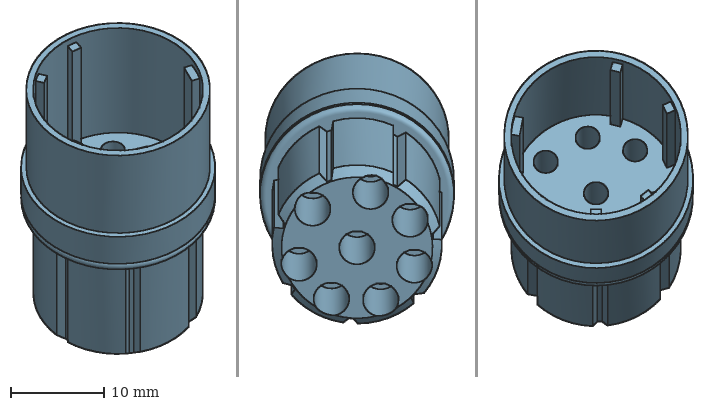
import cadquery as cq
import math

total_height = 32.5
bore_diameter = 18.2
sleeve_diameter = 19.7
insert_diameter = 18.2
insert_chamfer = 1.0

collar_diameter = 20.8
collar_bottom = 16.3
collar_top = 20.5
ring_section_radius = 0.62
ring_bottom = collar_bottom - 2 * ring_section_radius

cup_floor = collar_bottom

pin_diameter = 2.6
counterbore_diameter = 3.8
counterbore_depth = 8.12
pin_circle_radius = 6.5
first_pin_angle = -30.0
pin_spacing_angle = 48.0
spaced_pin_count = 6
lowest_pin_angle = -90.0

groove_count = 7
first_groove_angle = 90.0
groove_mouth_width = 1.6
groove_floor_width = 0.52
groove_depth = 0.9
groove_cutter_overlap = 0.32

rib_setback = 0.98
rib_top = total_height - rib_setback
rib_inner_radius = 8.12
main_rib_width = 2.15
main_rib_angle = 90.0
small_rib_width = 1.1
small_rib_angles = [-4.7, 190.0, 229.8, 305.1]


def polar(radius, angle):
    """Point at a radius and an angle in degrees."""
    turn = math.radians(angle)
    return (radius * math.cos(turn), radius * math.sin(turn))


def make_body():
    """Revolve the cup, collar, sealing ring and solid insert about Z."""
    insert_radius = insert_diameter / 2
    collar_radius = collar_diameter / 2
    sleeve_radius = sleeve_diameter / 2
    bore_radius = bore_diameter / 2
    ring_center_radius = collar_radius - ring_section_radius
    profile = (
        cq.Workplane("XZ")
        .moveTo(0, 0)
        .lineTo(insert_radius - insert_chamfer, 0)
        .lineTo(insert_radius, insert_chamfer)
        .lineTo(insert_radius, ring_bottom)
        .lineTo(ring_center_radius, ring_bottom)
        .threePointArc(
            (collar_radius, ring_bottom + ring_section_radius),
            (ring_center_radius, collar_bottom),
        )
        .lineTo(collar_radius, collar_bottom)
        .lineTo(collar_radius, collar_top)
        .lineTo(sleeve_radius, collar_top)
        .lineTo(sleeve_radius, total_height)
        .lineTo(bore_radius, total_height)
        .lineTo(bore_radius, cup_floor)
        .lineTo(0, cup_floor)
        .close()
    )
    return profile.revolve(360, (0, 0, 0), (0, 1, 0))


def make_rib(width, angle):
    """Rib from the cup floor, reaching into the wall without breaking through it."""
    rib_outer_radius = (bore_diameter + sleeve_diameter) / 4
    length = rib_outer_radius - rib_inner_radius
    return (
        cq.Workplane("XY")
        .workplane(offset=cup_floor)
        .center(rib_inner_radius + length / 2, 0)
        .rect(length, width)
        .extrude(rib_top - cup_floor)
        .rotate((0, 0, 0), (0, 0, 1), angle)
    )


def make_groove(angle):
    """Cutter for one groove; its straight sides narrow towards the floor."""
    insert_radius = insert_diameter / 2
    half_mouth = groove_mouth_width / 2
    half_floor = groove_floor_width / 2
    mouth_radius = math.sqrt(insert_radius**2 - half_mouth**2)
    floor_radius = insert_radius - groove_depth
    clear_radius = insert_radius + groove_cutter_overlap
    return (
        cq.Workplane("XY")
        .polyline([
            (floor_radius, -half_floor),
            (mouth_radius, -half_mouth),
            (clear_radius, -half_mouth),
            (clear_radius, half_mouth),
            (mouth_radius, half_mouth),
            (floor_radius, half_floor),
        ])
        .close()
        .extrude(ring_bottom)
        .rotate((0, 0, 0), (0, 0, 1), angle)
    )


def make_pin_holes():
    """Through holes with counterbores from the bottom face."""
    angles = [first_pin_angle + i * pin_spacing_angle for i in range(spaced_pin_count)]
    angles.append(lowest_pin_angle)
    centers = [(0, 0)] + [polar(pin_circle_radius, angle) for angle in angles]
    layout = cq.Workplane("XY").pushPoints(centers)
    holes = layout.circle(pin_diameter / 2).extrude(cup_floor)
    counterbores = layout.circle(counterbore_diameter / 2).extrude(counterbore_depth)
    return holes.union(counterbores)


result = make_body()

result = result.union(make_rib(main_rib_width, main_rib_angle))
for rib_angle in small_rib_angles:
    result = result.union(make_rib(small_rib_width, rib_angle))

for index in range(groove_count):
    result = result.cut(make_groove(first_groove_angle + index * 360 / groove_count))

result = result.cut(make_pin_holes())